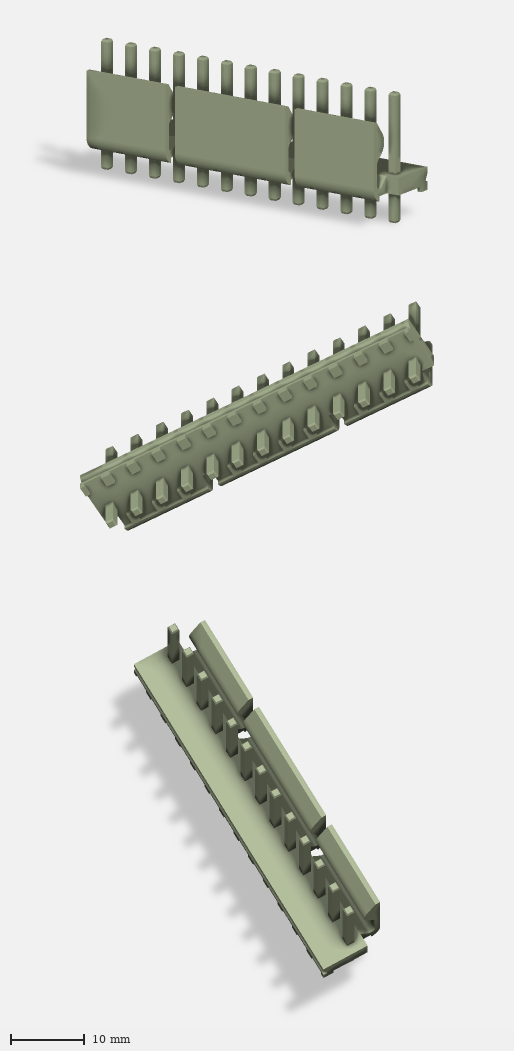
import cadquery as cq
import math


pin_count = 13
pitch = 3.95
pin_side = 1.2
pin_bottom = -4.45
pin_height = 18.25
pin_tip_height = 0.3
pin_tip_inset = 0.15
first_pin_x = -(pin_count - 1) * pitch / 2

base_length = 51.35
base_back = 5.1
base_front = -1.85
base_top = 2.45
notch_top = 1.7
notch_bottom = 0.45
notch_depth = 0.55

foot_height = 0.75
foot_length = 1.3
back_foot_depth = 1.55

gap_width = 1.55
pins_per_side_wall = 4
wall_outer = -4.95
wall_inner = -4.15
wall_top = 10.45
rim_thickness = 0.7
heel_top = 1.15
heel_back = -3.6
ramp_end = (-3.05, 1.2)
trough_floor = (-3.5, 1.0)
stem_bottom = 1.6
stem_top = 4.35

nose_root = (-3.8, 5.2)
nose_arc_bottom = (-3.15, 5.8)
nose_arc_top = (-2.9, 8.7)


def box_between(x_range, y_range, z_range):
    """Box filling the given (low, high) ranges."""
    x_low, x_high = x_range
    y_low, y_high = y_range
    z_low, z_high = z_range
    size = (x_high - x_low, y_high - y_low, z_high - z_low)
    return cq.Workplane("XY").box(*size, centered=False).translate((x_low, y_low, z_low))


def extrude_along_x(sketch, x_start, x_end):
    """Extrude a closed YZ outline from x_start to x_end."""
    return sketch.extrude(x_end - x_start).translate((x_start, 0, 0))


def make_base():
    """Bar with a hooked notch along its back face."""
    outline = (
        cq.Workplane("YZ")
        .moveTo(base_front, 0)
        .lineTo(base_back, 0)
        .lineTo(base_back, notch_bottom)
        .lineTo(base_back - notch_depth, notch_bottom)
        .lineTo(base_back, notch_top)
        .lineTo(base_back, base_top)
        .lineTo(base_front, base_top)
        .close()
    )
    return extrude_along_x(outline, -base_length / 2, base_length / 2)


def make_pin(x):
    """Square pin with tapered tips at both ends."""
    tip_taper = math.degrees(math.atan2(pin_tip_inset, pin_tip_height))
    shank_height = pin_height - 2 * pin_tip_height
    pin = cq.Workplane("XY").box(pin_side, pin_side, shank_height)
    for end_face in (">Z", "<Z"):
        pin = pin.faces(end_face).workplane(centerOption="CenterOfMass")
        pin = pin.rect(pin_side, pin_side).extrude(pin_tip_height, taper=tip_taper)
    return pin.translate((x, 0, pin_bottom + pin_height / 2))


def make_latch_wall(x_start, x_end):
    """Springy wall: ramp, rounded trough, upright stem and bulging latch nose."""
    outline = (
        cq.Workplane("YZ")
        .moveTo(base_front, 0)
        .lineTo(base_front, base_top)
        .lineTo(*ramp_end)
        .threePointArc(trough_floor, (wall_inner, stem_bottom))
        .lineTo(wall_inner, stem_top)
        .tangentArcPoint(nose_root, relative=False)
        .lineTo(*nose_arc_bottom)
        .tangentArcPoint(nose_arc_top, relative=False)
        .lineTo(wall_outer + rim_thickness, wall_top)
        .lineTo(wall_outer, wall_top)
        .lineTo(wall_outer, heel_top)
        .tangentArcPoint((heel_back, -foot_height), relative=False)
        .lineTo(heel_back, 0)
        .close()
    )
    return extrude_along_x(outline, x_start, x_end)


gap_x = -first_pin_x - (pins_per_side_wall - 0.5) * pitch
gap_inner = gap_x - gap_width / 2
gap_outer = gap_x + gap_width / 2
wall_spans = [
    (first_pin_x, -gap_outer),
    (-gap_inner, gap_inner),
    (gap_outer, -first_pin_x),
]

result = make_base()

for wall_start, wall_end in wall_spans:
    result = result.union(make_latch_wall(wall_start, wall_end))

foot_z = (-foot_height, 0)
back_foot_y = (base_back - back_foot_depth, base_back)
front_foot_y = (heel_back, base_front)

for index in range(pin_count + 1):
    foot_x = first_pin_x + (index - 0.5) * pitch
    foot_start = max(foot_x - foot_length / 2, -base_length / 2)
    foot_end = min(foot_x + foot_length / 2, base_length / 2)
    foot_span = (foot_start, foot_end)
    result = result.union(box_between(foot_span, back_foot_y, foot_z))
    if any(start < foot_x < end for start, end in wall_spans):
        result = result.union(box_between(foot_span, front_foot_y, foot_z))

for index in range(pin_count):
    result = result.union(make_pin(first_pin_x + index * pitch))